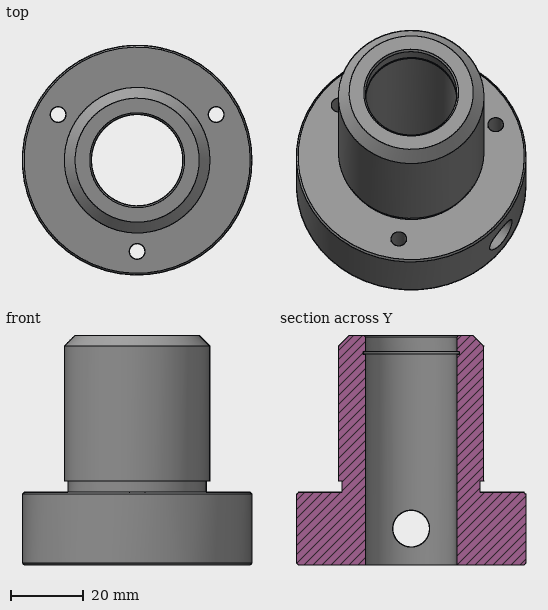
import cadquery as cq

flange_diameter = 63
flange_height = 20.0
flange_chamfer = 0.5

total_height = 63
sleeve_diameter = 39.95
neck_diameter = 38.0
neck_height = 3.0
sleeve_chamfer = 2.95

bore_diameter = 25.0
mouth_chamfer = 0.5
groove_diameter = 26.3
groove_width = 0.7
groove_top_depth = 4.5

screw_hole_diameter = 4.2
screw_circle_diameter = 50.0
screw_count = 3
first_screw_angle = -90

side_hole_diameter = 10.0
side_hole_height = flange_height / 2


def cylinder(diameter, height, base=0):
    return cq.Workplane("XY").workplane(offset=base).circle(diameter / 2).extrude(height)


def make_body():
    flange = cylinder(flange_diameter, flange_height).edges().chamfer(flange_chamfer)
    neck = cylinder(neck_diameter, neck_height, flange_height)
    sleeve_base = flange_height + neck_height
    sleeve = cylinder(sleeve_diameter, total_height - sleeve_base, sleeve_base)
    sleeve = sleeve.faces(">Z").edges().chamfer(sleeve_chamfer)
    return flange.union(neck).union(sleeve)


def make_bore():
    bore = cylinder(bore_diameter, total_height)
    groove_base = total_height - groove_top_depth - groove_width
    groove = cylinder(groove_diameter, groove_width, groove_base)
    mouth_base = total_height - mouth_chamfer
    mouth = (
        cq.Workplane("XY")
        .workplane(offset=mouth_base)
        .circle(bore_diameter / 2)
        .workplane(offset=mouth_chamfer)
        .circle(bore_diameter / 2 + mouth_chamfer)
        .loft(ruled=True)
    )
    return bore.union(groove).union(mouth)


def make_screw_holes():
    return (
        cq.Workplane("XY")
        .polarArray(screw_circle_diameter / 2, first_screw_angle, 360, screw_count)
        .circle(screw_hole_diameter / 2)
        .extrude(flange_height)
    )


def make_side_hole():
    return (
        cq.Workplane("XZ")
        .center(0, side_hole_height)
        .circle(side_hole_diameter / 2)
        .extrude(-flange_diameter / 2)
    )


result = make_body().cut(make_bore()).cut(make_screw_holes()).cut(make_side_hole())